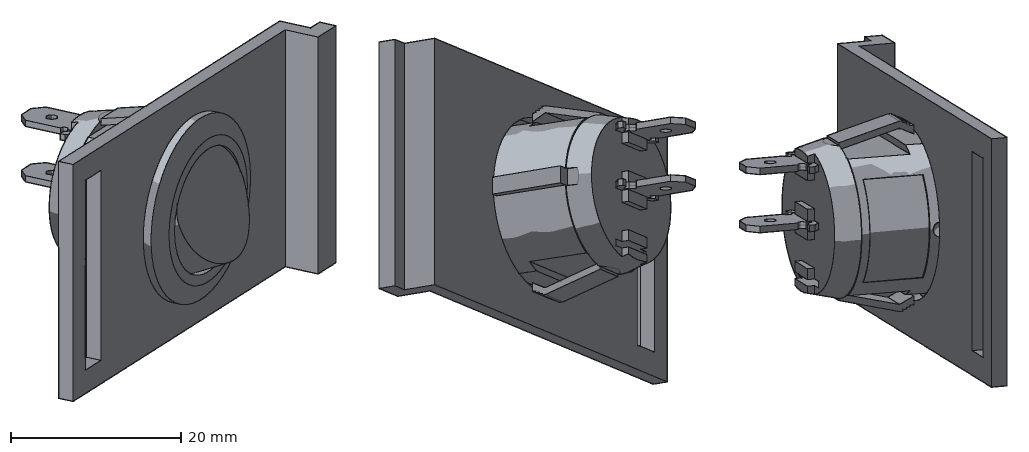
import cadquery as cq
import math


panel_thickness = 1.95
panel_height = 30.0
panel_length = 53.2
panel_y_max = 25.5
panel_y_min = panel_y_max - panel_length
jog_depth = 6.45
jog_thickness = 2.1
lip_thickness = 2.25
lip_height = 2.1
panel_hole_diameter = 21.0
window_y_min = -24.85
window_y_max = -21.3
window_height = 24.05

rear_x = -12.5
shoulder_x = -9.4
rear_radius = 8.7
collar_radius = 9.45
barrel_rear_radius = 9.65
barrel_front_radius = 9.9
collar_flat_z = 9.2
barrel_flat_z = 8.25
land_flat_z = 9.05
land_x = -1.75

bezel_diameter = 23.0
bezel_front_radius = 9.05
bezel_rim_width = 1.05
bezel_edge_x = panel_thickness + bezel_rim_width
bezel_front_x = 4.05

label_rear_x = -8.4
label_front_x = -0.95
label_height = 12.45
label_radius = 9.6

key_width = 2.1
key_inner_y = 9.1
key_outer_y = 10.7

clip_width = 3.9
clip_thickness = 0.85
clip_root_z = 9.5
clip_bend_x = -1.8
clip_bend_z = 11.5
clip_tip_z = 10.65
clip_teeth = 4

terminal_pitch = 7.0
terminal_thickness = 0.8
blade_end_x = -20.75
blade_half_width = 2.4
blade_chamfer = 1.3
blade_hole_diameter = 1.4
blade_hole_inset = 3.45
blade_notch_x = -14.2
blade_notch_radius = 0.5
barb_end_x = -13.85
barb_half_width = 3.95
barb_end_width = 0.7
slot_half_width = 3.3
slot_depth = 2.15
block_front_x = -13.4
block_width = 4.1
block_height = 3.7
block_inner_z = 5.3

rocker_radius = 7.6
rocker_floor_x = -1.05
rocker_tilt = math.radians(26)
rocker_tip_x = 7.55
rocker_tip_z = -5.6
rocker_top_x = 3.4
rocker_face_sag = 0.7
rocker_crown_radius = 117.05
opening_radius = 7.75

dimple_diameter = 1.8
dimple_x = 0.35


def span_box(x_min, x_max, y_min, y_max, z_min, z_max):
    """Box given by its limits along each axis."""
    size = (x_max - x_min, y_max - y_min, z_max - z_min)
    return cq.Workplane("XY").box(*size, centered=False).translate((x_min, y_min, z_min))


def x_cylinder(radius, x_min, x_max):
    """Cylinder on the switch axis."""
    return cq.Workplane("YZ", origin=(x_min, 0, 0)).circle(radius).extrude(x_max - x_min)


def turn(profile):
    """Solid turned round the switch axis from (x, radius) points."""
    return cq.Workplane("XY").polyline(profile).close().revolve(360, (0, 0, 0), (1, 0, 0))


def make_panel():
    """Plate with an L-shaped +Y edge, a round switch hole and a tall window."""
    jog_y_max = panel_y_max - lip_height
    jog_y_min = jog_y_max - jog_thickness
    outline = [
        (0, panel_y_min),
        (panel_thickness, panel_y_min),
        (panel_thickness, jog_y_min),
        (jog_depth, jog_y_min),
        (jog_depth, panel_y_max),
        (jog_depth - lip_thickness, panel_y_max),
        (jog_depth - lip_thickness, jog_y_max),
        (0, jog_y_max),
    ]
    plate = cq.Workplane("XY").polyline(outline).close().extrude(panel_height / 2, both=True)
    window = span_box(
        0, panel_thickness, window_y_min, window_y_max, -window_height / 2, window_height / 2
    )
    return plate.cut(x_cylinder(panel_hole_diameter / 2, 0, panel_thickness)).cut(window)


def make_flat_bounds(x_min, x_max, half_height):
    """Box that trims a round section to flats at +half_height and -half_height."""
    reach = bezel_diameter
    return span_box(x_min, x_max, -reach, reach, -half_height, half_height)


def make_collar_cone(start_x):
    """Cone of the rear collar, from start_x to the shoulder."""
    taper = (collar_radius - rear_radius) / (shoulder_x - rear_x)
    start_radius = rear_radius + taper * (start_x - rear_x)
    return turn([(start_x, 0), (start_x, start_radius), (shoulder_x, collar_radius), (shoulder_x, 0)])


def make_dimple():
    """Ball that dents the -Y side of the barrel next to the panel."""
    return cq.Workplane("XY").sphere(dimple_diameter / 2).translate((dimple_x, -barrel_front_radius, 0))


def make_barrel():
    """Tapered collar, flatted barrel and chamfered bezel round the switch axis."""
    barrel_profile = [
        (shoulder_x, 0),
        (shoulder_x, barrel_rear_radius),
        (panel_thickness, barrel_front_radius),
        (panel_thickness, 0),
    ]
    bezel_profile = [
        (panel_thickness, 0),
        (panel_thickness, bezel_diameter / 2),
        (bezel_edge_x, bezel_diameter / 2),
        (bezel_front_x, bezel_front_radius),
        (bezel_front_x, 0),
    ]
    collar = make_collar_cone(rear_x).intersect(make_flat_bounds(rear_x, shoulder_x, collar_flat_z))
    barrel_bounds = make_flat_bounds(shoulder_x, land_x, barrel_flat_z).union(
        make_flat_bounds(land_x, panel_thickness, land_flat_z)
    )
    barrel = turn(barrel_profile).intersect(barrel_bounds).cut(make_dimple())
    return collar.union(barrel).union(turn(bezel_profile))


def make_label_recess():
    """Shallow curved recess in the -Y side of the barrel."""
    window = span_box(
        label_rear_x, label_front_x, -bezel_diameter, 0, -label_height / 2, label_height / 2
    )
    return window.cut(x_cylinder(label_radius, label_rear_x, label_front_x))


def make_key():
    """Anti-rotation key standing on the +Y side of the barrel."""
    return span_box(shoulder_x, 0, key_inner_y, key_outer_y, -key_width / 2, key_width / 2)


def make_key_clearance():
    """Notch in the collar that leaves the rear end of the key open."""
    return span_box(rear_x, shoulder_x, key_inner_y, key_outer_y, -key_width / 2, key_width / 2)


def make_clip():
    """Bent +Z snap clip with a toothed lead-out that ends at the panel."""
    tooth_pitch = -clip_bend_x / clip_teeth
    tooth_drop = (clip_bend_z - clip_tip_z) / clip_teeth
    outline = [
        (0, clip_tip_z - clip_thickness),
        (clip_bend_x, clip_bend_z - clip_thickness),
        (shoulder_x, clip_root_z - clip_thickness),
        (shoulder_x, clip_root_z),
    ]
    for tooth in range(clip_teeth):
        tread_x = clip_bend_x + tooth * tooth_pitch
        tread_z = clip_bend_z - tooth * tooth_drop
        outline += [(tread_x, tread_z), (tread_x + tooth_pitch, tread_z)]
    return cq.Workplane("XZ").polyline(outline).close().extrude(clip_width / 2, both=True)


def make_block(center_z):
    """Support block on the rear face, trimmed to the cone of the collar."""
    block = span_box(
        block_front_x, rear_x, -block_width / 2, block_width / 2,
        center_z - block_height / 2, center_z + block_height / 2,
    )
    return block.intersect(make_collar_cone(block_front_x))


def make_terminal_slot(center_z):
    """Slot through a support block and into the housing."""
    return span_box(
        block_front_x, rear_x + slot_depth, -slot_half_width, slot_half_width,
        center_z - terminal_thickness / 2, center_z + terminal_thickness / 2,
    )


def make_housing():
    """Switch housing with its key, clips, support blocks and cavities."""
    housing = make_barrel().cut(make_label_recess()).cut(make_key_clearance())
    housing = housing.cut(x_cylinder(opening_radius, rocker_floor_x, bezel_front_x))
    housing = housing.union(make_key())

    upper_clip = make_clip()
    housing = housing.union(upper_clip).union(upper_clip.mirror("XY"))

    outer_block_z = block_inner_z + block_height / 2
    for block_z in (-outer_block_z, 0, outer_block_z):
        housing = housing.union(make_block(block_z))
    for slot_z in (-terminal_pitch, 0, terminal_pitch):
        housing = housing.cut(make_terminal_slot(slot_z))
    return housing


def make_terminal(center_z):
    """Flat blade with a holed, chamfered end, edge notches and two barbs."""
    barb_slope_x = barb_end_x + barb_end_width
    barb_inner_y = barb_half_width - barb_end_width
    barb_root_x = barb_end_x + barb_inner_y - blade_half_width
    half_outline = [
        (blade_end_x, blade_half_width - blade_chamfer),
        (blade_end_x + blade_chamfer, blade_half_width),
        (barb_root_x, blade_half_width),
        (barb_end_x, barb_inner_y),
        (barb_end_x, barb_half_width),
        (barb_slope_x, barb_half_width),
        (rear_x, slot_half_width),
        (rear_x + slot_depth, slot_half_width),
    ]
    mirrored_outline = [(x, -y) for x, y in reversed(half_outline)]
    blade = cq.Workplane("XY").polyline(half_outline + mirrored_outline).close()
    blade = blade.extrude(terminal_thickness / 2, both=True)

    hole = cq.Workplane("XY").center(blade_end_x + blade_hole_inset, 0).circle(blade_hole_diameter / 2)
    notch_centers = [(blade_notch_x, blade_half_width), (blade_notch_x, -blade_half_width)]
    notches = cq.Workplane("XY").pushPoints(notch_centers).circle(blade_notch_radius)
    for cutter in (hole, notches):
        blade = blade.cut(cutter.extrude(terminal_thickness, both=True))
    return blade.translate((0, 0, center_z))


def make_rocker_crown():
    """Saddle-shaped envelope whose outer surface is the rocker face.

    The face is hollow from the tip to the top, and slightly crowned along Y.
    """
    face_run = cq.Vector(rocker_top_x - rocker_tip_x, 0, rocker_radius - rocker_tip_z)
    along = face_run.normalized()
    inward = cq.Vector(-along.z, 0, along.x)
    tip = cq.Vector(rocker_tip_x, 0, rocker_tip_z)
    top = tip + face_run
    overrun = along * rocker_radius
    lower_end = tip - overrun
    lower_center = lower_end + inward * rocker_crown_radius
    upper_center = top + inward * rocker_crown_radius
    profile = (
        cq.Workplane("XZ")
        .moveTo(lower_center.x, lower_center.z)
        .lineTo(lower_end.x, lower_end.z)
        .lineTo(tip.x, tip.z)
        .sagittaArc((top.x, top.z), rocker_face_sag)
        .lineTo(upper_center.x, upper_center.z)
        .close()
    )
    return profile.revolve(
        360, (lower_center.x, lower_center.z), (upper_center.x, upper_center.z)
    )


def make_rocker():
    """Tilted round rocker that fills the bezel opening."""
    axis = cq.Vector(math.cos(rocker_tilt), 0, math.sin(rocker_tilt))
    toward_top = cq.Vector(-math.sin(rocker_tilt), 0, math.cos(rocker_tilt))
    tip = cq.Vector(rocker_tip_x, 0, rocker_tip_z)
    half_length = 2 * rocker_radius
    start = tip + toward_top * rocker_radius - axis * half_length
    tilted_round = cq.Solid.makeCylinder(rocker_radius, 2 * half_length, start, axis)
    opening = x_cylinder(opening_radius, rocker_floor_x, rocker_tip_x)
    return opening.intersect(cq.Workplane(tilted_round)).intersect(make_rocker_crown())


panel = make_panel()
housing = make_housing()
rocker = make_rocker()
terminals = [make_terminal(center_z) for center_z in (0, terminal_pitch)]

result = cq.Compound.makeCompound(
    [panel.val(), housing.val(), rocker.val(), *[terminal.val() for terminal in terminals]]
)